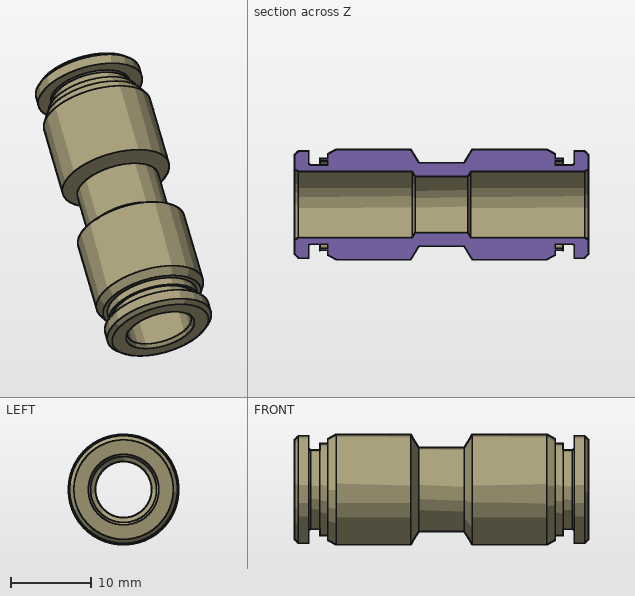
import cadquery as cq

total_length = 36.7
half_length = total_length / 2

collar_radius = 6.7
collar_chamfer = 0.5
collar_back = 1.8
stem_radius = 4.95
stem_root_radius = 5.1
stem_root_length = 0.22

sleeve_radius = 5.75
sleeve_front = 3.2
clearance_radius = 5.43
clearance_depth = 0.95

body_radius = 6.9
body_front = 4.15
body_front_radius = 6.3
body_front_taper = 1.05
body_back = 14.55
waist_radius = 5.25
waist_start = 15.52

mouth_radius = 4.4
mouth_chamfer_depth = 0.5
socket_radius = 4.1
socket_depth = 14.68
through_radius = 3.5
cone_length = 0.35


def revolve_both_halves(outline):
    """Mirror an open (station, radius) outline about mid-length and turn it around the X axis."""
    left = [(station - half_length, radius) for station, radius in outline]
    right = [(-x, radius) for x, radius in reversed(left)]
    return cq.Workplane("XY").polyline(left + right).close().revolve(360, (0, 0, 0), (1, 0, 0))


def make_outside():
    """Solid outer form: collars, stems, sleeves, bodies and waist."""
    return revolve_both_halves([
        (0, 0),
        (0, collar_radius - collar_chamfer),
        (collar_chamfer, collar_radius),
        (collar_back, collar_radius),
        (collar_back, stem_root_radius),
        (collar_back + stem_root_length, stem_radius),
        (sleeve_front + clearance_depth, stem_radius),
        (sleeve_front + clearance_depth, clearance_radius),
        (sleeve_front, clearance_radius),
        (sleeve_front, sleeve_radius),
        (body_front, sleeve_radius),
        (body_front, body_front_radius),
        (body_front + body_front_taper, body_radius),
        (body_back, body_radius),
        (waist_start, waist_radius),
    ])


def make_bore():
    """Space running right through the connector."""
    return revolve_both_halves([
        (0, 0),
        (0, mouth_radius),
        (mouth_chamfer_depth, socket_radius),
        (socket_depth, socket_radius),
        (socket_depth + cone_length, through_radius),
    ])


result = make_outside().cut(make_bore())